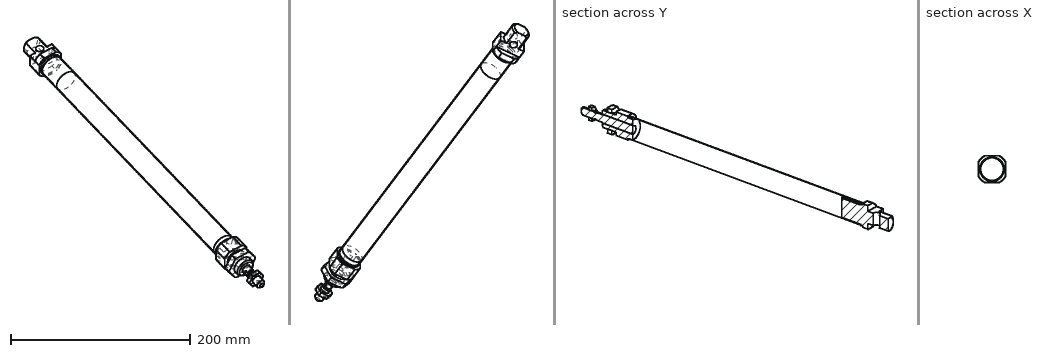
import cadquery as cq
import math

PIN_HOLE_X = 17.3
REAR_BLOCK_START = 19.5
REAR_STEP = 29.2
REAR_BLOCK_END = 37.0
TUBE_START = 40.0
REAR_SPIGOT_END = 67.5
FRONT_SPIGOT_START = 368.0
TUBE_END = 374.0
FRONT_BLOCK_START = 375.5
FRONT_BLOCK_END = 392.5
MOUNT_NUT_START = 398.3
NOSE_END = 413.0
ROD_FLAT_START = 417.5
ROD_NECK_START = 421.5
ROD_THREAD_START = 423.5
ROD_NUT_START = 427.5
ROD_END = 443.0

TUBE_DIAMETER = 26.5
TUBE_BORE = 25.3

CAP_DIAMETER = 34.0
CAP_ACROSS_FLATS = 30.0
COLLAR_DIAMETER = 27.0
NOSE_DIAMETER = 22.0
NOSE_CHAMFER = 1.8

EYE_DIAMETER = NOSE_DIAMETER
EYE_WIDTH = 16.0
EYE_CHAMFER_LENGTH = 1.8
EYE_CHAMFER_DEPTH = 2.0
PIN_HOLE_DIAMETER = 9.0

ROD_DIAMETER = 10.0
ROD_ACROSS_FLATS = 7.0
ROD_NECK_DIAMETER = 8.5
ROD_TIP_CHAMFER = 2.0

MOUNT_NUT_ACROSS_FLATS = 32.0
MOUNT_NUT_THICKNESS = 7.0
MOUNT_NUT_CHAMFER = 1.0
ROD_NUT_ACROSS_FLATS = 17.0
ROD_NUT_THICKNESS = 5.0


def cross_section(x):
    """Workplane square to the axis, with its local x along Z."""
    return cq.Workplane(cq.Plane(origin=(x, 0, 0), xDir=(0, 0, 1), normal=(1, 0, 0)))


def cylinder(start, end, diameter):
    """Cylinder on the X axis between two stations."""
    return cross_section(start).circle(diameter / 2).extrude(end - start)


def bar(start, end, width_y, width_z):
    """Rectangular bar centred on the X axis between two stations."""
    return cross_section(start).rect(width_z, width_y).extrude(end - start)


def flatted_block(start, end):
    """Cap block: a cylinder cut by four flats, square to Y and Z."""
    block = bar(start, end, CAP_ACROSS_FLATS, CAP_ACROSS_FLATS)
    return block.intersect(cylinder(start, end, CAP_DIAMETER))


def across_corners(across_flats):
    """Corner-to-corner size of a hexagon."""
    return across_flats / math.cos(math.pi / 6)


def hex_nut(start, thickness, across_flats, bore):
    """Hexagonal nut with two corners on the Y axis and two flats square to Z."""
    hexagon = cq.Workplane("YZ", origin=(start, 0, 0)).polygon(6, across_corners(across_flats))
    return hexagon.circle(bore / 2).extrude(thickness)


def make_eye():
    """Round eye with a bevelled rear end."""
    radius = EYE_DIAMETER / 2
    half_profile = [
        (0, 0),
        (0, radius - EYE_CHAMFER_DEPTH),
        (EYE_CHAMFER_LENGTH, radius),
        (REAR_STEP, radius),
        (REAR_STEP, 0),
    ]
    return cq.Workplane("XZ").polyline(half_profile).close().revolve(360, (0, 0, 0), (1, 0, 0))


def make_rear_cap():
    tongue = make_eye().union(flatted_block(REAR_BLOCK_START, REAR_STEP))
    tongue = tongue.intersect(bar(0, REAR_STEP, CAP_ACROSS_FLATS, EYE_WIDTH))
    block = flatted_block(REAR_STEP, REAR_BLOCK_END)
    collar = cylinder(REAR_BLOCK_END, TUBE_START, COLLAR_DIAMETER)
    spigot = cylinder(TUBE_START, REAR_SPIGOT_END, TUBE_BORE)
    pin_hole = (
        cq.Workplane("XY", origin=(PIN_HOLE_X, 0, -EYE_WIDTH / 2))
        .circle(PIN_HOLE_DIAMETER / 2)
        .extrude(EYE_WIDTH)
    )
    return tongue.union(block).union(collar).union(spigot).cut(pin_hole)


def make_tube():
    bore = cylinder(TUBE_START, TUBE_END, TUBE_BORE)
    return cylinder(TUBE_START, TUBE_END, TUBE_DIAMETER).cut(bore)


def make_front_cap():
    spigot = cylinder(FRONT_SPIGOT_START, TUBE_END, TUBE_BORE)
    collar = cylinder(TUBE_END, FRONT_BLOCK_START, COLLAR_DIAMETER)
    block = flatted_block(FRONT_BLOCK_START, FRONT_BLOCK_END)
    nose = cylinder(FRONT_BLOCK_END, NOSE_END, NOSE_DIAMETER).faces(">X").chamfer(NOSE_CHAMFER)
    rod_bore = cylinder(FRONT_SPIGOT_START, NOSE_END, ROD_DIAMETER)
    return spigot.union(collar).union(block).union(nose).cut(rod_bore)


def make_mount_nut():
    nut = hex_nut(MOUNT_NUT_START, MOUNT_NUT_THICKNESS, MOUNT_NUT_ACROSS_FLATS, NOSE_DIAMETER)
    nut_end = MOUNT_NUT_START + MOUNT_NUT_THICKNESS
    envelope = cylinder(MOUNT_NUT_START, nut_end, across_corners(MOUNT_NUT_ACROSS_FLATS))
    return nut.intersect(envelope.faces(">X").chamfer(MOUNT_NUT_CHAMFER))


def make_rod():
    shank = cylinder(FRONT_SPIGOT_START, ROD_FLAT_START, ROD_DIAMETER)
    flats = cylinder(ROD_FLAT_START, ROD_NECK_START, ROD_DIAMETER).intersect(
        bar(ROD_FLAT_START, ROD_NECK_START, ROD_ACROSS_FLATS, ROD_DIAMETER)
    )
    neck = cylinder(ROD_NECK_START, ROD_THREAD_START, ROD_NECK_DIAMETER)
    thread = cylinder(ROD_THREAD_START, ROD_END, ROD_DIAMETER).faces(">X").chamfer(ROD_TIP_CHAMFER)
    return shank.union(flats).union(neck).union(thread)


def make_rod_nut():
    return hex_nut(ROD_NUT_START, ROD_NUT_THICKNESS, ROD_NUT_ACROSS_FLATS, ROD_DIAMETER)


rear_cap = make_rear_cap()
tube = make_tube()
front_cap = make_front_cap()
mount_nut = make_mount_nut()
rod = make_rod()
rod_nut = make_rod_nut()

bodies = [rear_cap, tube, front_cap, mount_nut, rod, rod_nut]
result = cq.Compound.makeCompound([body.solids().val() for body in bodies])